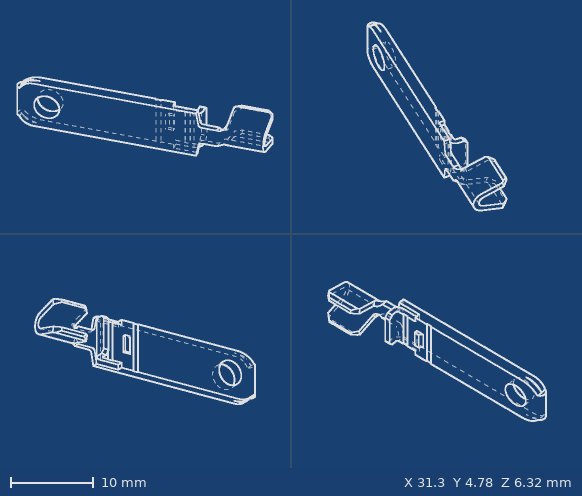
import cadquery as cq
import math


thickness = 0.75
overall_length = 31.34
tab_half_width = 3.16
fold_half_width = 2.06
folded_thickness = 2 * thickness

front_corner_radius = 2.0
front_corner_x = 2.28
back_corner_x = 2.87
back_corner_radius = tab_half_width
hole_x = 3.95
hole_radius = 1.6
front_end_x = 22.87
shoulder_angle = math.radians(10)
shoulder_fillet = 0.375

back_step_x = 19.75
flange_half_width = 2.5
flange_end_x = 23.28
flange_top_y = 2.94
flange_thickness = 0.7
flange_chamfer = 0.5
flange_inner_radius = 0.2
flange_outer_radius = flange_inner_radius + thickness
groove_width = 0.65
groove_depth = 0.1
groove_centers_x = (17.63, 21.33)
bump_start_x = 18.5
bump_end_x = 19.5
bump_height = 0.4
bump_ramp_length = 0.35
bump_half_width = 1.07

neck_half_width = 1.18
neck_end_x = 25.52
barrel_start_x = 26.46
barrel_radius = 2 * thickness
barrel_inner_radius = barrel_radius - thickness
barrel_length = overall_length - barrel_start_x
wing_splay = math.radians(15)
wing_length = 3.6
wing_bevel_length = 0.53
wing_bevel_depth = 0.32
wing_corner_cut = 0.75

mid_curl_radius = 2.2
mid_curl_angle = math.radians(29.7)


def extrude_between(sketch, y_start, y_end):
    """Extrude a closed XZ outline from y_start to y_end (XZ normal is -Y)."""
    return sketch.extrude(-(y_end - y_start)).translate((0, y_start, 0))


def corner_point(center_x, radius, z):
    """X of the rounded corner at height z; the round is tangent to the tab's long edge."""
    rise = z - (tab_half_width - radius)
    return center_x - math.sqrt(radius**2 - rise**2)


def layer(center_x, radius, end_x, y_start):
    """One tab layer with rounded corners that stop at the fold tongue."""
    corner_x = corner_point(center_x, radius, fold_half_width)
    start_angle = math.asin((fold_half_width - tab_half_width + radius) / radius)
    middle_angle = (start_angle + math.pi / 2) / 2
    middle_x = center_x - radius * math.cos(middle_angle)
    middle_z = tab_half_width - radius + radius * math.sin(middle_angle)
    outline = (
        cq.Workplane("XZ")
        .moveTo(0, -fold_half_width)
        .lineTo(corner_x, -fold_half_width)
        .threePointArc((middle_x, -middle_z), (center_x, -tab_half_width))
        .lineTo(end_x, -tab_half_width)
        .lineTo(end_x, tab_half_width)
        .lineTo(center_x, tab_half_width)
        .threePointArc((middle_x, middle_z), (corner_x, fold_half_width))
        .lineTo(0, fold_half_width)
        .close()
    )
    return extrude_between(outline, y_start, y_start + thickness)


def fold_envelope():
    """Side profile of the folded strip, rounded at the fold."""
    return (
        cq.Workplane("XY")
        .moveTo(thickness, 0)
        .lineTo(front_end_x, 0)
        .lineTo(front_end_x, folded_thickness)
        .lineTo(thickness, folded_thickness)
        .threePointArc((0, thickness), (thickness, 0))
        .close()
        .extrude(tab_half_width, both=True)
    )


def shoulder_and_neck():
    """Neck with sloped, filleted shoulders at the end of the front layer."""
    fillet_center_z = neck_half_width + shoulder_fillet
    tangent_z = fillet_center_z - shoulder_fillet * math.sin(shoulder_angle)
    tangent_x = front_end_x + (tab_half_width - tangent_z) * math.tan(shoulder_angle)
    fillet_center_x = tangent_x + shoulder_fillet * math.cos(shoulder_angle)
    middle_angle = (shoulder_angle + math.pi / 2) / 2
    middle_x = fillet_center_x - shoulder_fillet * math.cos(middle_angle)
    middle_z = fillet_center_z - shoulder_fillet * math.sin(middle_angle)
    outline = (
        cq.Workplane("XZ")
        .moveTo(front_end_x, -tab_half_width)
        .lineTo(tangent_x, -tangent_z)
        .threePointArc((middle_x, -middle_z), (fillet_center_x, -neck_half_width))
        .lineTo(neck_end_x, -neck_half_width)
        .lineTo(neck_end_x, neck_half_width)
        .lineTo(fillet_center_x, neck_half_width)
        .threePointArc((middle_x, middle_z), (tangent_x, tangent_z))
        .lineTo(front_end_x, tab_half_width)
        .close()
    )
    return extrude_between(outline, 0, thickness)


def flange():
    """Narrow end of the back layer, bent up square to the tab, with chamfered top corners."""
    bend_center_x = flange_end_x - flange_outer_radius
    bend_center_y = thickness + flange_outer_radius
    inner_face_x = flange_end_x - flange_thickness
    profile = (
        cq.Workplane("XY")
        .moveTo(back_step_x, thickness)
        .lineTo(bend_center_x, thickness)
        .radiusArc((flange_end_x, bend_center_y), -flange_outer_radius)
        .lineTo(flange_end_x, flange_top_y)
        .lineTo(inner_face_x, flange_top_y)
        .lineTo(inner_face_x, folded_thickness + flange_inner_radius)
        .radiusArc((inner_face_x - flange_inner_radius, folded_thickness), flange_inner_radius)
        .lineTo(back_step_x, folded_thickness)
        .close()
    )
    bent_strip = profile.extrude(flange_half_width, both=True)
    return bent_strip.faces(">Y").edges("|X").chamfer(flange_chamfer)


def bump():
    """Latching bump on the back layer: ramped towards the fold, square towards the flange."""
    top_y = folded_thickness + bump_height
    return (
        cq.Workplane("XY")
        .moveTo(bump_start_x, folded_thickness)
        .lineTo(bump_start_x + bump_ramp_length, top_y)
        .lineTo(bump_end_x, top_y)
        .lineTo(bump_end_x, thickness)
        .lineTo(bump_start_x, thickness)
        .close()
        .extrude(bump_half_width, both=True)
    )


def groove(center_x):
    """Shallow groove across the full width of the back layer."""
    return cq.Workplane("XY").box(groove_width, 2 * groove_depth, 2 * tab_half_width).translate(
        (center_x, folded_thickness, 0)
    )


def curl_point(radius, offset_radius, angle):
    """(Y, Z) point of a curled strip whose outside touches Y = 0 with the given radius."""
    return (radius - offset_radius * math.cos(angle), offset_radius * math.sin(angle))


def curled_section(x, radius, angle):
    """Wire of the strip curled to an outside radius through +/- angle, at position x."""
    inner = radius - thickness
    return (
        cq.Workplane("YZ", origin=(x, 0, 0))
        .moveTo(*curl_point(radius, radius, -angle))
        .threePointArc((0, 0), curl_point(radius, radius, angle))
        .lineTo(*curl_point(radius, inner, angle))
        .threePointArc((thickness, 0), curl_point(radius, inner, -angle))
        .close()
        .wires()
        .val()
    )


def flat_section(x):
    """Wire of the flat neck section at position x."""
    return (
        cq.Workplane("YZ", origin=(x, 0, 0))
        .moveTo(0, -neck_half_width)
        .lineTo(0, neck_half_width)
        .lineTo(thickness, neck_half_width)
        .lineTo(thickness, -neck_half_width)
        .close()
        .wires()
        .val()
    )


def transition():
    """Smooth change from the flat neck to the curled floor of the barrel."""
    mid_x = (neck_end_x + barrel_start_x) / 2
    sections = [
        flat_section(neck_end_x),
        curled_section(mid_x, mid_curl_radius, mid_curl_angle),
        curled_section(barrel_start_x, barrel_radius, math.pi / 2 - wing_splay),
    ]
    return cq.Workplane(obj=cq.Solid.makeLoft(sections))


def barrel_floor():
    """Curled floor of the barrel, up to where the straight wings begin."""
    section = curled_section(barrel_start_x, barrel_radius, math.pi / 2 - wing_splay)
    return cq.Workplane(
        obj=cq.Solid.extrudeLinear(section, [], cq.Vector(barrel_length, 0, 0))
    )


def wing():
    """Upper barrel wing, built along +Y above the barrel axis, then splayed outwards."""
    profile = (
        cq.Workplane("YZ")
        .moveTo(0, barrel_inner_radius)
        .lineTo(wing_length, barrel_inner_radius)
        .lineTo(wing_length, barrel_radius - wing_bevel_depth)
        .lineTo(wing_length - wing_bevel_length, barrel_radius)
        .lineTo(0, barrel_radius)
        .close()
        .extrude(barrel_length)
    )
    plan = (
        cq.Workplane("XY")
        .moveTo(0, 0)
        .lineTo(barrel_length, 0)
        .lineTo(barrel_length, wing_length - wing_corner_cut)
        .lineTo(barrel_length - wing_corner_cut, wing_length)
        .lineTo(wing_corner_cut, wing_length)
        .lineTo(0, wing_length - wing_corner_cut)
        .close()
        .extrude(barrel_radius)
    )
    straight_wing = profile.intersect(plan)
    splayed_wing = straight_wing.rotate((0, 0, 0), (1, 0, 0), math.degrees(wing_splay))
    return splayed_wing.translate((barrel_start_x, barrel_radius, 0))


front_layer = layer(front_corner_x, front_corner_radius, front_end_x, 0)
back_layer = layer(back_corner_x, back_corner_radius, back_step_x, thickness)
tab = front_layer.union(back_layer).intersect(fold_envelope())
tab = tab.union(shoulder_and_neck()).union(flange())
for center_x in groove_centers_x:
    tab = tab.cut(groove(center_x))
tab = tab.union(bump())

hole = extrude_between(
    cq.Workplane("XZ").center(hole_x, 0).circle(hole_radius), 0, folded_thickness
)
tab = tab.cut(hole)

upper_wing = wing()
barrel = barrel_floor().union(upper_wing).union(upper_wing.mirror("XY"))

result = tab.union(transition()).union(barrel)